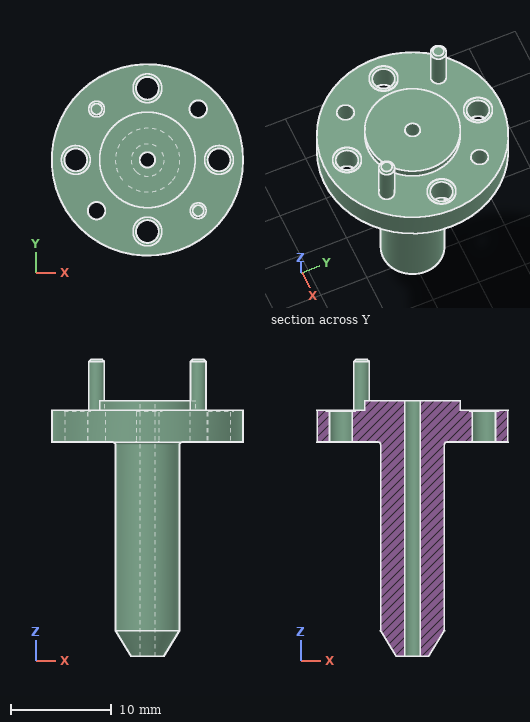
import cadquery as cq

total_height = 29.55
tip_height = 2.57
flange_thickness = 3.2
pin_height = 5.05
flange_top = total_height - pin_height
flange_bottom = flange_top - flange_thickness

flange_diameter = 19.05
stem_diameter = 6.38
tip_diameter = 3.25
neck_fillet = 0.27
boss_diameter = 9.5
boss_height = 0.95
bore_diameter = 1.5

screw_offset = 7.12
screw_diameter = 2.25
counterbore_diameter = 2.87
counterbore_depth = 0.1

diagonal_offset = 5.05
pin_diameter = 1.57
pin_chamfer = 0.25
alignment_diameter = 1.7


def make_body():
    """Tapered stem, flange and raised boss, turned about Z."""
    tip_radius = tip_diameter / 2
    stem_radius = stem_diameter / 2
    flange_radius = flange_diameter / 2
    boss_radius = boss_diameter / 2
    boss_top = flange_top + boss_height
    profile = (
        cq.Workplane("XZ")
        .lineTo(tip_radius, 0)
        .lineTo(stem_radius, tip_height)
        .lineTo(stem_radius, flange_bottom - neck_fillet)
        .radiusArc((stem_radius + neck_fillet, flange_bottom), neck_fillet)
        .lineTo(flange_radius, flange_bottom)
        .lineTo(flange_radius, flange_top)
        .lineTo(boss_radius, flange_top)
        .lineTo(boss_radius, boss_top)
        .lineTo(0, boss_top)
        .close()
    )
    return profile.revolve(360, (0, 0, 0), (0, 1, 0))


def make_pins():
    """Two chamfered pins seated through the flange on one diagonal."""
    return (
        cq.Workplane("XY", origin=(0, 0, flange_bottom))
        .pushPoints([(-diagonal_offset, diagonal_offset), (diagonal_offset, -diagonal_offset)])
        .circle(pin_diameter / 2)
        .extrude(total_height - flange_bottom)
        .faces(">Z")
        .edges()
        .chamfer(pin_chamfer)
    )


def cut_holes(body):
    """Central bore, counterbored screw holes and plain alignment holes."""
    body = body.cut(cq.Workplane("XY").circle(bore_diameter / 2).extrude(total_height))
    flange_face = cq.Workplane("XY", origin=(0, 0, flange_top))
    body = (
        body.copyWorkplane(flange_face)
        .polarArray(screw_offset, 0, 360, 4)
        .cboreHole(screw_diameter, counterbore_diameter, counterbore_depth, flange_thickness)
    )
    return (
        body.copyWorkplane(flange_face)
        .pushPoints([(diagonal_offset, diagonal_offset), (-diagonal_offset, -diagonal_offset)])
        .hole(alignment_diameter, flange_thickness)
    )


result = cut_holes(make_body()).union(make_pins())